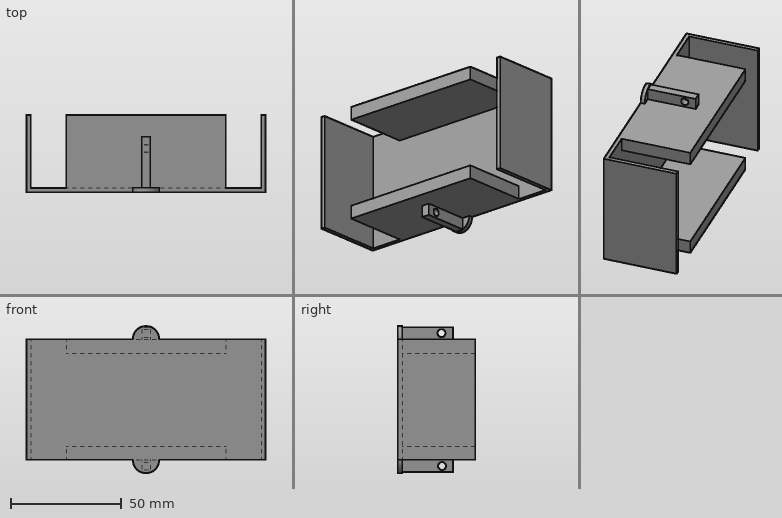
import cadquery as cq

length = 108.0
depth = 35.0
height = 54.5
wall = 2.0
shelf_width = 72.0
shelf_thickness = 6.25

tab_radius = 6.0
bar_width = 4.0
bar_height = 5.5
bar_end = 25.0
hole_diameter = 3.5
hole_rise = bar_height / 2
top_hole_y = 19.75
bottom_hole_y = 20.0


def block(size_x, y_start, y_end, z_start, z_end, centre_x=0.0):
    """Box centred on centre_x, spanning the given Y and Z ranges."""
    box = cq.Workplane("XY").box(size_x, y_end - y_start, z_end - z_start, centered=(True, False, False))
    return box.translate((centre_x, y_start, z_start))


def make_shell():
    """Front panel and the two side walls, open to the rear, top and bottom."""
    shell = block(length, 0, wall, -height / 2, height / 2)
    for side in (-1, 1):
        wall_centre = side * (length - wall) / 2
        shell = shell.union(block(wall, 0, depth, -height / 2, height / 2, wall_centre))
    return shell


def make_upper_fittings(hole_y):
    """Shelf, round tab and drilled bar along the upper edge of the shell."""
    edge = height / 2
    shelf = block(shelf_width, 0, depth, edge - shelf_thickness, edge)
    tab = (
        cq.Workplane("XZ", origin=(0, 0, edge))
        .circle(tab_radius)
        .extrude(-wall)
    )
    bar = block(bar_width, 0, bar_end, edge, edge + bar_height)
    hole = (
        cq.Workplane("YZ")
        .center(hole_y, edge + hole_rise)
        .circle(hole_diameter / 2)
        .extrude(bar_width, both=True)
    )
    return shelf.union(tab).union(bar.cut(hole))


upper_fittings = make_upper_fittings(top_hole_y)
lower_fittings = make_upper_fittings(bottom_hole_y).mirror("XY")
result = make_shell().union(upper_fittings).union(lower_fittings)